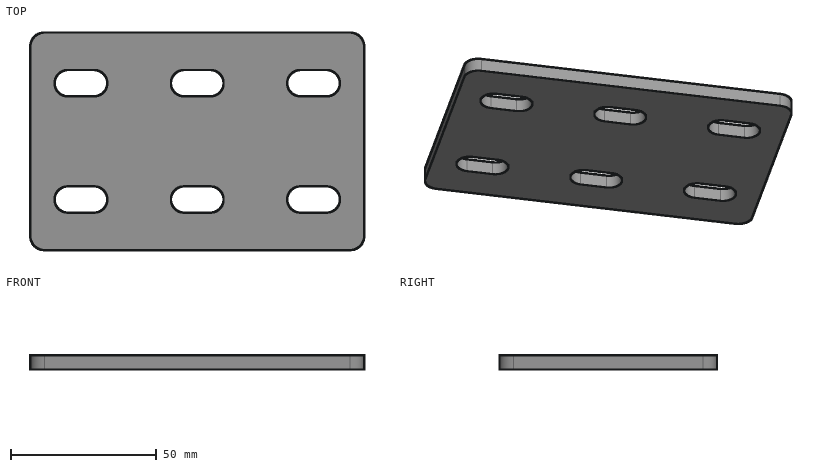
import cadquery as cq

length = 115.0
width = 75.0
thickness = 5.0
corner_radius = 5.0

slot_length = 18.0
slot_width = 9.0
slot_pitch = 40.0
columns = 3
rows = 2

plate = (
    cq.Workplane("XY")
    .rect(length, width)
    .extrude(thickness)
    .edges("|Z")
    .fillet(corner_radius)
)

slots = (
    cq.Workplane("XY")
    .rarray(slot_pitch, slot_pitch, columns, rows)
    .slot2D(slot_length, slot_width)
    .extrude(thickness)
)

result = plate.cut(slots)